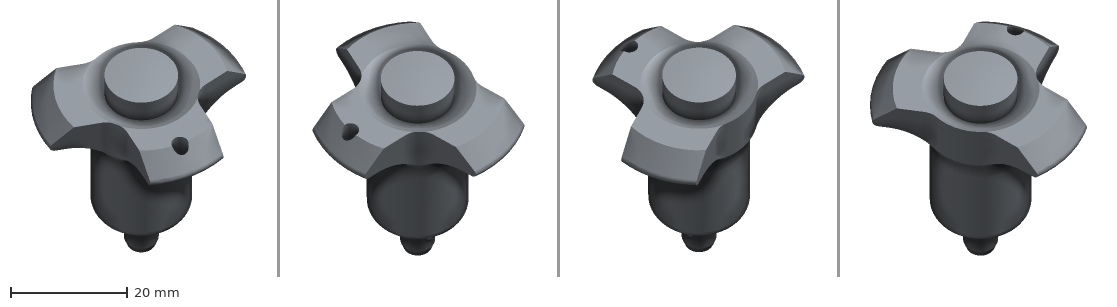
import math

import cadquery as cq

pin_radius = 3.0
pin_length = 10.0
pin_tip_radius = 2.5
pin_tip_height = 1.5
ball_radius = 0.8
ball_reach = 3.5
ball_height = 4.3

body_radius = 8.75
body_bottom_round = 2.0
flare_radius = 7.7
flare_start_height = 27.3
flare_end_height = flare_start_height + flare_radius

head_top_height = 40.2
hub_radius = 10.0
arm_reach = 19.0
arm_width = 14.0
side_arm_angle = 103.8
arm_angles = (0, side_arm_angle, -side_arm_angle)
arm_corner_round = 4.0
arm_top_radius = 15.1
rim_angle = math.radians(45)
arm_hole_diameter = 3.0
arm_hole_distance = 15.0

recess_radius = 10.12
recess_cone_inner_radius = 8.07
recess_cone_angle = math.radians(30)
recess_floor_angle = math.radians(20)

button_radius = 6.33
button_edge_height = 42.75
button_top_height = 43.2


def make_pin():
    profile = (
        cq.Workplane("XZ")
        .lineTo(pin_tip_radius, 0)
        .lineTo(pin_radius, pin_tip_height)
        .lineTo(pin_radius, pin_length)
        .lineTo(0, pin_length)
        .close()
    )
    pin = profile.revolve(360, (0, 0, 0), (0, 1, 0))
    ball_offset = ball_reach - ball_radius
    for side in (-1, 1):
        ball = cq.Workplane("XY").sphere(ball_radius)
        pin = pin.union(ball.translate((0, side * ball_offset, ball_height)))
    return pin


def make_turned_handle():
    """Body, flare and head as one turned shape, before the arms are cut out."""
    rim_run = arm_reach - arm_top_radius
    head_thickness = head_top_height - flare_end_height
    sine, cosine = math.sin(rim_angle), math.cos(rim_angle)
    nose_radius = (cosine * head_thickness - sine * rim_run) / (1 + cosine - sine)
    nose_center_radius = arm_reach - nose_radius
    nose_center_height = flare_end_height + nose_radius
    nose_top_radius = nose_center_radius + nose_radius * sine
    nose_top_height = nose_center_height + nose_radius * cosine

    flare_center_radius = body_radius + flare_radius
    half_way = math.sqrt(0.5)
    flare_mid_radius = flare_center_radius - flare_radius * half_way
    flare_mid_height = flare_start_height + flare_radius * half_way
    round_center_radius = body_radius - body_bottom_round
    round_mid_radius = round_center_radius + body_bottom_round * half_way
    round_center_height = pin_length + body_bottom_round
    round_mid_height = round_center_height - body_bottom_round * half_way

    profile = (
        cq.Workplane("XZ")
        .moveTo(0, pin_length)
        .lineTo(round_center_radius, pin_length)
        .threePointArc((round_mid_radius, round_mid_height), (body_radius, round_center_height))
        .lineTo(body_radius, flare_start_height)
        .threePointArc((flare_mid_radius, flare_mid_height), (flare_center_radius, flare_end_height))
        .lineTo(nose_center_radius, flare_end_height)
        .threePointArc((arm_reach, nose_center_height), (nose_top_radius, nose_top_height))
        .lineTo(arm_top_radius, head_top_height)
        .lineTo(0, head_top_height)
        .close()
    )
    return profile.revolve(360, (0, 0, 0), (0, 1, 0))


def make_arm_outline():
    """Upright block with the three-armed outline and rounded inner corners."""
    height = head_top_height - flare_start_height
    block_length = arm_reach + hub_radius
    base = cq.Workplane("XY").workplane(offset=flare_start_height)
    arm = base.rect(block_length, arm_width).extrude(height).translate((block_length / 2, 0, 0))

    outline = (
        base.moveTo(0, hub_radius)
        .threePointArc((-hub_radius, 0), (0, -hub_radius))
        .close()
        .extrude(height)
    )
    for angle in arm_angles:
        outline = outline.union(arm.rotate((0, 0, 0), (0, 0, 1), angle))

    near_axis = cq.selectors.BoxSelector(
        (-arm_width, -arm_width, 0),
        (arm_width, arm_width, head_top_height),
    )
    return outline.edges("|Z").edges(near_axis).fillet(arm_corner_round)


def make_handle():
    """Turned handle trimmed to the arm outline everywhere above the start of the flare."""
    turned = make_turned_handle()
    below_flare = cq.Workplane("XY").circle(arm_reach).extrude(flare_start_height)
    return turned.intersect(make_arm_outline().union(below_flare))


def make_recess():
    """Dish with a conical wall and a curved floor that levels out toward the button."""
    cone_depth = (recess_radius - recess_cone_inner_radius) * math.tan(recess_cone_angle)
    cone_end_height = head_top_height - cone_depth
    floor_width = recess_cone_inner_radius - button_radius
    floor_curve_radius = floor_width / (math.sin(recess_cone_angle) - math.sin(recess_floor_angle))
    floor_center_radius = recess_cone_inner_radius - floor_curve_radius * math.sin(recess_cone_angle)
    floor_center_height = cone_end_height + floor_curve_radius * math.cos(recess_cone_angle)

    def floor_point(slope):
        return (
            floor_center_radius + floor_curve_radius * math.sin(slope),
            floor_center_height - floor_curve_radius * math.cos(slope),
        )

    middle_slope = (recess_cone_angle + recess_floor_angle) / 2
    profile = (
        cq.Workplane("XZ")
        .moveTo(recess_radius, head_top_height)
        .lineTo(recess_cone_inner_radius, cone_end_height)
        .threePointArc(floor_point(middle_slope), floor_point(recess_floor_angle))
        .lineTo(button_radius, head_top_height)
        .close()
    )
    return profile.revolve(360, (0, 0, 0), (0, 1, 0))


def make_button():
    """Button with a slightly domed top, standing up out of the handle."""
    dome_height = button_top_height - button_edge_height
    dome_radius = (button_radius**2 + dome_height**2) / (2 * dome_height)
    mid_radius = button_radius / 2
    mid_height = button_top_height - dome_radius + math.sqrt(dome_radius**2 - mid_radius**2)
    profile = (
        cq.Workplane("XZ")
        .moveTo(0, flare_end_height)
        .lineTo(button_radius, flare_end_height)
        .lineTo(button_radius, button_edge_height)
        .threePointArc((mid_radius, mid_height), (0, button_top_height))
        .close()
    )
    return profile.revolve(360, (0, 0, 0), (0, 1, 0))


def make_arm_hole():
    hole = cq.Workplane("XY").center(arm_hole_distance, 0).circle(arm_hole_diameter / 2)
    return hole.extrude(head_top_height)


handle = make_handle().cut(make_recess()).cut(make_arm_hole())
result = handle.union(make_button()).union(make_pin())